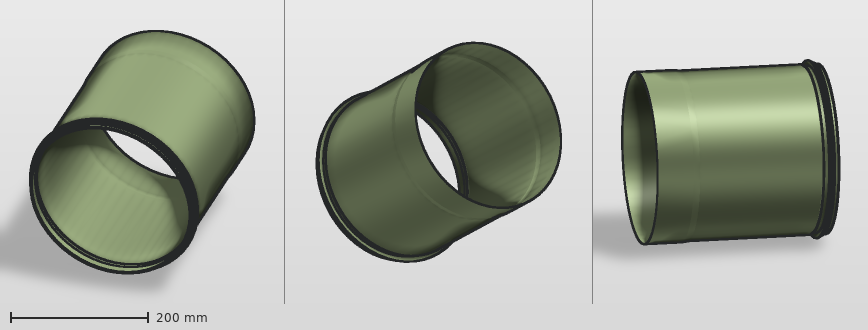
import cadquery as cq

length = 270.5
pipe_radius = 248.9 / 2
pipe_bore_radius = 247.8 / 2
socket_radius = 251.3 / 2
socket_bore_radius = 250.5 / 2
spigot_radius = 244.0 / 2
spigot_bore_radius = 243.2 / 2

neck_narrow = 22.7
neck_wide = 25.5
neck_bend_radius = 1.4
taper_start = 206.7
taper_end = 216.5

hem_end = 8.7
fold_radius = (pipe_radius - spigot_bore_radius) / 2
fold_inner_radius = (pipe_bore_radius - spigot_radius) / 2
fold_center_radius = spigot_bore_radius + fold_radius
fold_inner_center_radius = spigot_radius + fold_inner_radius
fold_y = fold_radius

seal_base_radius = pipe_bore_radius
long_lip_radius = 259.5 / 2
short_lip_radius = 254.3 / 2
long_lip_bevel = 0.8
long_lip_back = 15.1
long_lip_edge = 14.3
long_lip_front = 13.0
short_lip_back = 11.0
short_lip_edge = 9.7
short_lip_step_radius = 251.5 / 2
short_lip_front = 7.0


def revolve_about_y(outline):
    """Turn a closed (radius, y) outline into a ring around the Y axis."""
    return outline.revolve(360, (0, 0, 0), (0, 1, 0))


def make_pipe():
    """Thin tube with a wider socket, a neck and a hemmed spigot."""
    outline = (
        cq.Workplane("XY")
        .moveTo(socket_bore_radius, length)
        .lineTo(socket_bore_radius, taper_end)
        .lineTo(pipe_bore_radius, taper_start)
        .lineTo(pipe_bore_radius, neck_wide)
        .lineTo(spigot_bore_radius, neck_narrow)
        .lineTo(spigot_bore_radius, fold_y)
        .threePointArc((fold_center_radius, fold_y - fold_radius), (pipe_radius, fold_y))
        .lineTo(pipe_radius, hem_end)
        .lineTo(pipe_bore_radius, hem_end)
        .lineTo(pipe_bore_radius, fold_y)
        .threePointArc(
            (fold_inner_center_radius, fold_y - fold_inner_radius),
            (spigot_radius, fold_y),
        )
        .lineTo(spigot_radius, neck_narrow)
        .lineTo(pipe_radius, neck_wide)
        .lineTo(pipe_radius, taper_start)
        .lineTo(socket_radius, taper_end)
        .lineTo(socket_radius, length)
        .close()
    )
    return round_neck(revolve_about_y(outline))


def round_neck(pipe):
    """Round the bends at both ends of the neck, inside and outside."""
    margin = 0.3
    neck_edges = cq.selectors.BoxSelector(
        (-margin, neck_narrow - margin, -margin),
        (margin, neck_wide + margin, margin),
    )
    return pipe.edges(neck_edges).fillet(neck_bend_radius)


def make_seal():
    """Seal ring on the spigot: a foot under the hem and two outward lips."""
    outline = cq.Workplane("XY").polyline([
        (spigot_radius, fold_y),
        (spigot_radius, long_lip_back),
        (long_lip_radius, long_lip_back),
        (long_lip_radius, long_lip_edge),
        (long_lip_radius - long_lip_bevel, long_lip_front),
        (seal_base_radius, long_lip_front),
        (seal_base_radius, short_lip_back),
        (short_lip_radius, short_lip_back),
        (short_lip_radius, short_lip_edge),
        (short_lip_step_radius, short_lip_edge),
        (short_lip_step_radius, short_lip_front),
        (pipe_radius, short_lip_front),
        (pipe_radius, hem_end),
        (pipe_bore_radius, hem_end),
        (pipe_bore_radius, fold_y),
    ]).close()
    return revolve_about_y(outline)


pipe = make_pipe()
seal = make_seal()

result = cq.Compound.makeCompound([pipe.val(), seal.val()])